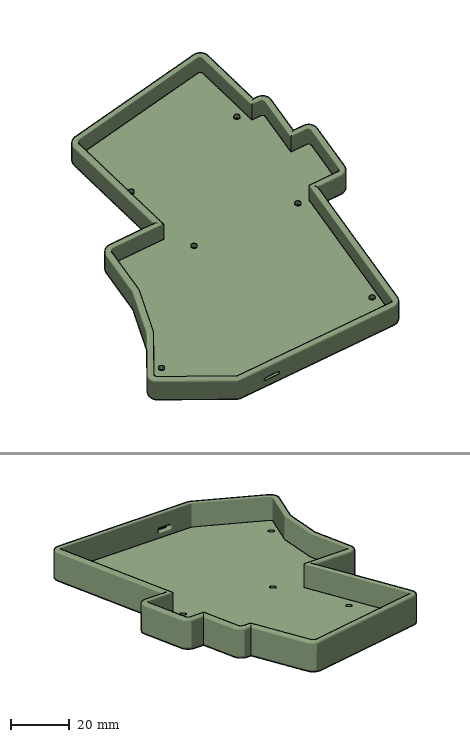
import cadquery as cq
import math

height = 11.4
floor_thickness = 2.5
wall_thickness = 2.4
corner_radius = 3.5
outer_edge_fillet = 1.0
rim_inner_fillet = 0.5

right_side_x = 63.2
tab_top_y = 51.5
tab_left_x = -18.6
tab_right_x = 6.7
shoulder_top_y = 44.0
shoulder_left_x = -36.9
right_block_top_y = 39.0
right_block_left_x = -9.0
right_block_bottom_y = -37.8

tilt = math.radians(10)
tilted_corner_x = -53.3
tilted_corner_y = -24.9
tilted_height = 60.0

first_fan_angle = math.radians(15)
second_fan_angle = math.radians(30)
fan_start_x = 12.4
fan_bend_x = 29.6
right_side_end_y = -25.7

screw_hole_diameter = 2.1
screw_hole_centres = [
    (-38.3, 33.2),
    (3.5, 32.7),
    (50.4, 34.5),
    (1.0, -6.8),
    (-29.5, -13.8),
    (39.5, -42.3),
]

slot_length = 6.1
slot_height = 1.5
slot_mouth_fillet = 0.5
slot_centre_y = -12.6
slot_centre_z = 5.2
slot_wall_inner_x = right_side_x - wall_thickness


def sharp_outline():
    """Outer outline, counter-clockwise, before its convex corners are rounded."""
    tilted_top_left_x = tilted_corner_x - tilted_height * math.sin(tilt)
    tilted_top_left_y = tilted_corner_y + tilted_height * math.cos(tilt)
    tilted_bottom_end_y = tilted_corner_y + (right_block_left_x - tilted_corner_x) * math.tan(tilt)
    tilted_top_end_y = tilted_top_left_y + (shoulder_left_x - tilted_top_left_x) * math.tan(tilt)

    fan_bend_y = right_block_bottom_y - (fan_bend_x - fan_start_x) * math.tan(first_fan_angle)
    side_run = right_side_x - fan_bend_x
    side_rise = right_side_end_y - fan_bend_y
    last_fan_length = side_run * math.cos(second_fan_angle) - side_rise * math.sin(second_fan_angle)
    tip_x = fan_bend_x + last_fan_length * math.cos(second_fan_angle)
    tip_y = fan_bend_y - last_fan_length * math.sin(second_fan_angle)

    return [
        (tilted_corner_x, tilted_corner_y),
        (right_block_left_x, tilted_bottom_end_y),
        (right_block_left_x, right_block_bottom_y),
        (fan_start_x, right_block_bottom_y),
        (fan_bend_x, fan_bend_y),
        (tip_x, tip_y),
        (right_side_x, right_side_end_y),
        (right_side_x, right_block_top_y),
        (tab_right_x, right_block_top_y),
        (tab_right_x, tab_top_y),
        (tab_left_x, tab_top_y),
        (tab_left_x, shoulder_top_y),
        (shoulder_left_x, shoulder_top_y),
        (shoulder_left_x, tilted_top_end_y),
        (tilted_top_left_x, tilted_top_left_y),
    ]


def inset_outline(points, distance):
    """Move every side of a counter-clockwise polygon inwards, keeping all corners sharp."""
    moved = []
    for index, (x, y) in enumerate(points):
        before_x, before_y = points[index - 1]
        after_x, after_y = points[(index + 1) % len(points)]
        arriving = math.atan2(y - before_y, x - before_x)
        leaving = math.atan2(after_y - y, after_x - x)
        half_turn = (leaving - arriving) / 2
        bisector = arriving + half_turn
        reach = distance / math.cos(half_turn)
        moved.append((x - reach * math.sin(bisector), y + reach * math.cos(bisector)))
    return moved


def rounded_prism(inset, base_z, top_z):
    """Prism of the outline moved in by inset; convex corners round, concave corners sharp."""
    return (
        cq.Workplane("XY")
        .workplane(offset=base_z)
        .polyline(inset_outline(sharp_outline(), corner_radius))
        .close()
        .offset2D(corner_radius - inset, "arc")
        .extrude(top_z - base_z)
    )


def tray():
    """Open tray with rounded outer edges and a softened inner rim."""
    body = rounded_prism(0, 0, height)
    body = body.faces("<Z or >Z").edges().fillet(outer_edge_fillet)
    pocket = rounded_prism(wall_thickness, floor_thickness, height)
    body = body.cut(pocket)
    rim_opening = body.faces(">Z").val().innerWires()[0]
    return body.newObject(rim_opening.Edges()).fillet(rim_inner_fillet)


def screw_holes():
    return (
        cq.Workplane("XY")
        .pushPoints(screw_hole_centres)
        .circle(screw_hole_diameter / 2)
        .extrude(floor_thickness)
    )


def slot_prism():
    return (
        cq.Workplane("YZ")
        .workplane(offset=slot_wall_inner_x)
        .center(slot_centre_y, slot_centre_z)
        .slot2D(slot_length, slot_height)
        .extrude(wall_thickness)
    )


def cut_wall_slot(body):
    """Cut the slot and round over its mouth on the inside of the wall."""
    body = body.cut(slot_prism())
    mouth = cq.selectors.BoxSelector(
        (slot_wall_inner_x - slot_mouth_fillet, slot_centre_y - slot_length, slot_centre_z - slot_height),
        (slot_wall_inner_x + slot_mouth_fillet, slot_centre_y + slot_length, slot_centre_z + slot_height),
    )
    return body.edges(mouth).fillet(slot_mouth_fillet)


result = cut_wall_slot(tray().cut(screw_holes()))